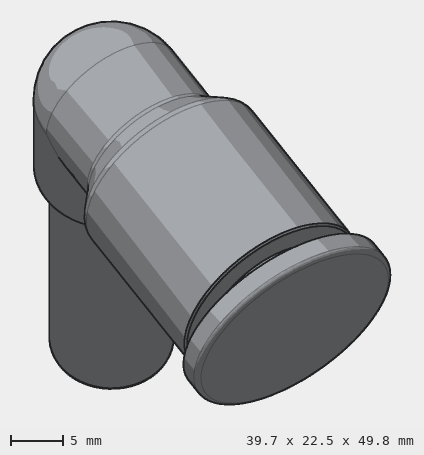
import cadquery as cq
import math

elbow_radius = 7.5
elbow_drop = 10.85

stem_radius = 6.0
stem_end_z = -39.875
stem_chamfer_height = 0.3
stem_chamfer_depth = 0.1

body_radius = 9.875
body_end_x = 28.15
body_end_chamfer = 0.2
cone_angle = math.radians(40)
cone_start_x = 7.18
cone_root_fillet = 0.8
cone_rim_fillet = 1.0

neck_radius = 7.2
flange_start_x = 29.9
flange_end_x = 32.2
flange_half_width = 11.25
flange_half_height = 9.75
flange_fillet = 0.5


def make_elbow():
    """Two equal cylinders mitred together, with a quarter sphere rounding the outer corner."""
    side_arm = cq.Workplane("YZ").circle(elbow_radius).extrude(cone_start_x)
    down_arm = cq.Workplane("XY").circle(elbow_radius).extrude(-elbow_drop)
    corner = (
        cq.Workplane("YZ")
        .moveTo(-elbow_radius, 0)
        .threePointArc((0, elbow_radius), (elbow_radius, 0))
        .close()
        .revolve(90, (elbow_radius, 0, 0), (-elbow_radius, 0, 0))
    )
    return side_arm.union(down_arm).union(corner)


def make_stem():
    """Round plug-in stem with a slim lead-in at its free end."""
    tip_radius = stem_radius - stem_chamfer_depth
    profile = (
        cq.Workplane("XZ")
        .moveTo(0, -elbow_drop)
        .lineTo(stem_radius, -elbow_drop)
        .lineTo(stem_radius, stem_end_z + stem_chamfer_height)
        .lineTo(tip_radius, stem_end_z)
        .lineTo(0, stem_end_z)
        .close()
    )
    return profile.revolve(360, (0, 0, 0), (0, 1, 0))


def fillet_offset(radius, turn):
    """Axial and radial distance from an arc's axial tangent to a point turned by the given angle."""
    return radius * math.sin(turn), radius * (1 - math.cos(turn))


def make_body():
    """Revolved socket body whose cone is blended at both ends."""
    root_run, root_rise = fillet_offset(cone_root_fillet, cone_angle)
    root_mid_run, root_mid_rise = fillet_offset(cone_root_fillet, cone_angle / 2)
    rim_run, rim_drop = fillet_offset(cone_rim_fillet, cone_angle)
    rim_mid_run, rim_mid_drop = fillet_offset(cone_rim_fillet, cone_angle / 2)

    cone_foot = (cone_start_x + root_run, elbow_radius + root_rise)
    cone_top_radius = body_radius - rim_drop
    cone_length = (cone_top_radius - cone_foot[1]) / math.tan(cone_angle)
    cone_top = (cone_foot[0] + cone_length, cone_top_radius)
    barrel_start_x = cone_top[0] + rim_run

    profile = (
        cq.Workplane("XZ")
        .moveTo(cone_start_x, 0)
        .lineTo(cone_start_x, elbow_radius)
        .threePointArc((cone_start_x + root_mid_run, elbow_radius + root_mid_rise), cone_foot)
        .lineTo(*cone_top)
        .threePointArc(
            (barrel_start_x - rim_mid_run, body_radius - rim_mid_drop),
            (barrel_start_x, body_radius),
        )
        .lineTo(body_end_x - body_end_chamfer, body_radius)
        .lineTo(body_end_x, body_radius - body_end_chamfer)
        .lineTo(body_end_x, 0)
        .close()
    )
    return profile.revolve(360, (0, 0, 0), (1, 0, 0))


def make_collar():
    """Neck leaving the body and the oval flange with a rounded outer rim."""
    neck = (
        cq.Workplane("YZ", origin=(body_end_x, 0, 0))
        .circle(neck_radius)
        .extrude(flange_start_x - body_end_x)
    )
    flange = (
        cq.Workplane("YZ", origin=(flange_start_x, 0, 0))
        .ellipse(flange_half_width, flange_half_height)
        .extrude(flange_end_x - flange_start_x)
        .faces(">X")
        .edges()
        .fillet(flange_fillet)
    )
    return neck.union(flange)


result = make_elbow().union(make_stem()).union(make_body()).union(make_collar())